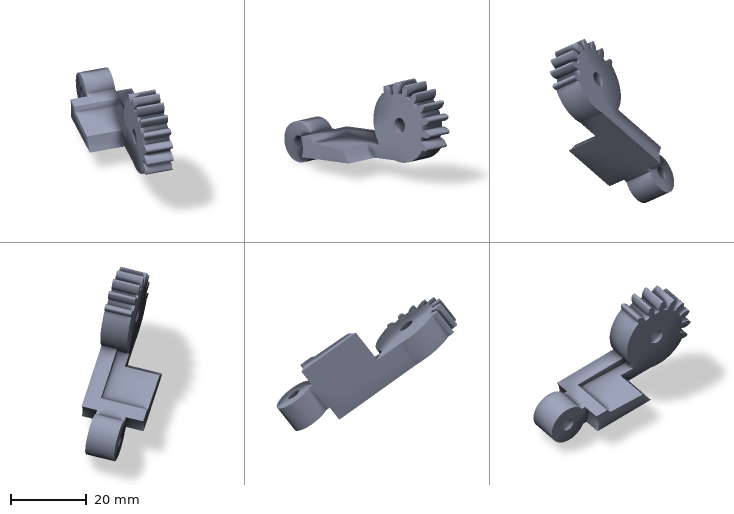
import cadquery as cq
import math


TOOTH_COUNT_FULL_CIRCLE = 17
TOOTH_COUNT = 8
TOOTH_PITCH = 360 / TOOTH_COUNT_FULL_CIRCLE
FIRST_TOOTH_ANGLE = 90 + 1.5 * TOOTH_PITCH
ROOT_RADIUS = 8.4
TOOTH_WIDEST_RADIUS = 9.7
TIP_EDGE_RADIUS = 11.2
TIP_RADIUS = 11.36
ROOT_HALF_WIDTH = 0.77
WIDEST_HALF_WIDTH = 0.94
TIP_HALF_WIDTH = 0.37
ROOT_OVERLAP = 0.5
GEAR_THICKNESS = 7.35
GEAR_BORE_RADIUS = 2.0

DISC_RADIUS = 10.0
TOOTHED_MARGIN = TOOTH_PITCH / 5
TOOTHED_START_ANGLE = FIRST_TOOTH_ANGLE - (TOOTH_COUNT - 1) * TOOTH_PITCH - TOOTHED_MARGIN
TOOTHED_END_ANGLE = FIRST_TOOTH_ANGLE + TOOTHED_MARGIN

HUB_X = -33.3
HUB_Z = -9.41
HUB_RADIUS = 5.5
HUB_BORE_RADIUS = 1.75
HUB_BACK = 4.25
HUB_THICKNESS = 7.87

ARM_WIDTH = 5.5
ARM_TILT = 4.3
ARM_DEPTH = 16.89
ARM_END_X = -1.0
HUB_CLEARANCE_RADIUS = 6.5
GEAR_CLEARANCE_RADIUS = 14.0

RECESS_TOP_X = -24.02
RECESS_FLOOR_START = (-22.97, -7.2)
RECESS_FLOOR_END = (-8.09, -6.91)
RECESS_BACK = HUB_BACK


def front_plane(back):
    """Plane facing -Y at the given depth, with local x and y along X and Z."""
    return cq.Workplane("XZ", origin=(0, -back, 0))


def cylinder(x, z, radius, back, depth):
    return front_plane(back).center(x, z).circle(radius).extrude(depth)


def polar(radius, angle):
    return radius * math.cos(math.radians(angle)), radius * math.sin(math.radians(angle))


def arm_edge_z(x, side):
    """Height of the upper (side = 1) or lower (side = -1) arm face at x."""
    tilt = math.radians(ARM_TILT)
    return HUB_Z + (x - HUB_X) * math.tan(tilt) + side * ARM_WIDTH / 2 / math.cos(tilt)


def arm_bar(back, depth):
    outline = [
        (HUB_X, arm_edge_z(HUB_X, -1)),
        (ARM_END_X, arm_edge_z(ARM_END_X, -1)),
        (ARM_END_X, arm_edge_z(ARM_END_X, 1)),
        (HUB_X, arm_edge_z(HUB_X, 1)),
    ]
    return front_plane(back).polyline(outline).close().extrude(depth)


def tooth(angle):
    """One tooth with bulging flanks and a rounded tip, pointing along angle."""
    inner = ROOT_RADIUS - ROOT_OVERLAP
    profile = (
        front_plane(0)
        .moveTo(inner, -ROOT_HALF_WIDTH)
        .lineTo(ROOT_RADIUS, -ROOT_HALF_WIDTH)
        .threePointArc((TOOTH_WIDEST_RADIUS, -WIDEST_HALF_WIDTH), (TIP_EDGE_RADIUS, -TIP_HALF_WIDTH))
        .threePointArc((TIP_RADIUS, 0), (TIP_EDGE_RADIUS, TIP_HALF_WIDTH))
        .threePointArc((TOOTH_WIDEST_RADIUS, WIDEST_HALF_WIDTH), (ROOT_RADIUS, ROOT_HALF_WIDTH))
        .lineTo(inner, ROOT_HALF_WIDTH)
        .close()
    )
    return profile.extrude(GEAR_THICKNESS).rotate((0, 0, 0), (0, -1, 0), angle)


def gear():
    middle_angle = (TOOTHED_START_ANGLE + TOOTHED_END_ANGLE) / 2
    toothless_sector = (
        front_plane(0)
        .lineTo(*polar(DISC_RADIUS, TOOTHED_END_ANGLE))
        .threePointArc(polar(DISC_RADIUS, middle_angle + 180), polar(DISC_RADIUS, TOOTHED_START_ANGLE))
        .close()
        .extrude(GEAR_THICKNESS)
    )
    body = cylinder(0, 0, ROOT_RADIUS, 0, GEAR_THICKNESS).union(toothless_sector)
    for index in range(TOOTH_COUNT):
        body = body.union(tooth(FIRST_TOOTH_ANGLE - index * TOOTH_PITCH))
    return body


def recess():
    top_z = arm_edge_z(RECESS_TOP_X, 1)
    ceiling_z = arm_edge_z(ARM_END_X, 1)
    outline = [
        (RECESS_TOP_X, top_z),
        RECESS_FLOOR_START,
        RECESS_FLOOR_END,
        (RECESS_FLOOR_END[0], ceiling_z),
        (RECESS_TOP_X, ceiling_z),
    ]
    return front_plane(RECESS_BACK).polyline(outline).close().extrude(ARM_DEPTH - RECESS_BACK)


def arm():
    hub_clearance = cylinder(HUB_X, HUB_Z, HUB_CLEARANCE_RADIUS, 0, ARM_DEPTH)
    gear_clearance = cylinder(0, 0, GEAR_CLEARANCE_RADIUS, GEAR_THICKNESS, ARM_DEPTH - GEAR_THICKNESS)
    return arm_bar(0, ARM_DEPTH).cut(hub_clearance).cut(gear_clearance).cut(recess())


def hub():
    barrel = cylinder(HUB_X, HUB_Z, HUB_RADIUS, HUB_BACK, HUB_THICKNESS)
    clearance_disc = cylinder(HUB_X, HUB_Z, HUB_CLEARANCE_RADIUS, HUB_BACK, HUB_THICKNESS)
    web = arm_bar(HUB_BACK, HUB_THICKNESS).intersect(clearance_disc)
    return barrel.union(web)


gear_bore = cylinder(0, 0, GEAR_BORE_RADIUS, 0, GEAR_THICKNESS)
hub_bore = cylinder(HUB_X, HUB_Z, HUB_BORE_RADIUS, HUB_BACK, HUB_THICKNESS)

result = arm().union(gear()).union(hub()).cut(gear_bore).cut(hub_bore)